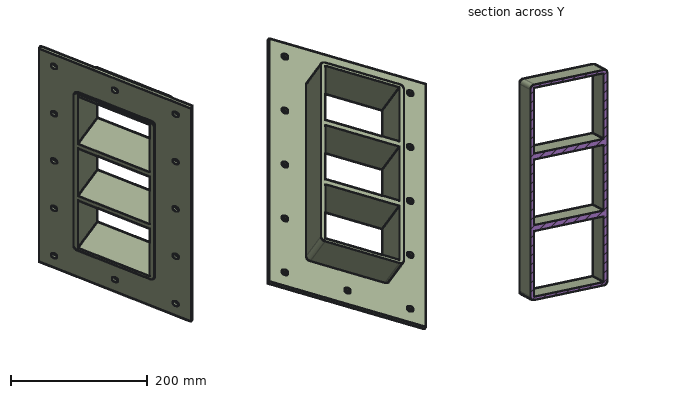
import cadquery as cq

PLATE_WIDTH = 252.5
PLATE_HEIGHT = 455.0
PLATE_THICKNESS = 6.0

OPENING_WIDTH = 119.0
OPENING_HEIGHT = 101.0
OPENING_COUNT = 3
DIVIDER = 10.0
SIDE_WALL = 7.5
END_WALL = 6.0
CORNER_RADIUS = 7.0
FRAME_DEPTH = 60.0
FRONT_LIP = 3.0

HOLE_DIAMETER = 10.0
HOLE_PITCH = 101.0
HOLE_COLUMNS = 3
HOLE_ROWS = 5

opening_pitch = OPENING_HEIGHT + DIVIDER
frame_width = OPENING_WIDTH + 2 * SIDE_WALL
frame_height = OPENING_COUNT * OPENING_HEIGHT + (OPENING_COUNT - 1) * DIVIDER + 2 * END_WALL


def slab(width, height, front, depth):
    """Block centred on X and Z, reaching from y = front to y = front + depth."""
    return cq.Workplane("XY").box(width, depth, height).translate((0, front + depth / 2, 0))


def rim_hole_points():
    """Grid positions on the outer rows and columns only."""
    points = []
    for column in range(HOLE_COLUMNS):
        for row in range(HOLE_ROWS):
            if column in (0, HOLE_COLUMNS - 1) or row in (0, HOLE_ROWS - 1):
                x = (column - (HOLE_COLUMNS - 1) / 2) * HOLE_PITCH
                z = (row - (HOLE_ROWS - 1) / 2) * HOLE_PITCH
                points.append((x, z))
    return points


plate = slab(PLATE_WIDTH, PLATE_HEIGHT, FRONT_LIP, PLATE_THICKNESS)
bolt_holes = (
    cq.Workplane("XZ").pushPoints(rim_hole_points()).circle(HOLE_DIAMETER / 2).extrude(-FRAME_DEPTH)
)
frame = slab(frame_width, frame_height, 0, FRAME_DEPTH).edges("|Y").fillet(CORNER_RADIUS)
openings = (
    cq.Workplane("XZ")
    .rarray(4.5, opening_pitch, 1, OPENING_COUNT)
    .rect(OPENING_WIDTH, OPENING_HEIGHT)
    .extrude(-FRAME_DEPTH)
)

result = plate.cut(bolt_holes).union(frame).cut(openings)